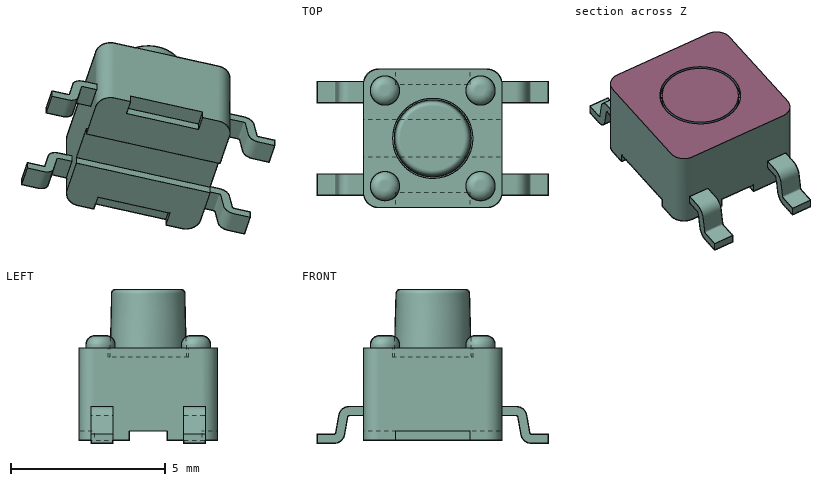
import math

import cadquery as cq

housing_width = 4.5
corner_radius = 0.5
housing_bottom = 0.1
cover_top = 3.1
cover_thickness = 0.3
cover_bottom = cover_top - cover_thickness
cover_hole_diameter = 2.6

relief_height = 0.3
channel_width = 1.22
notch_width = 2.42
notch_depth = 0.5

button_top = 5.0
button_base_diameter = 2.5
button_draft = 1.5
button_edge_radius = 0.15

rivet_diameter = 0.95
rivet_height = 0.4
rivet_edge_radius = 0.3
rivet_offset = 1.55

lead_span = 7.5
lead_width = 0.7
lead_thickness = 0.3
lead_top = 1.2
lead_offset = 1.5
lead_corner_x = 3.0
lead_tilt = 10.0
lead_inner_radius = 0.05
lead_outer_radius = lead_inner_radius + lead_thickness
lead_embed = 0.2


def square_block(bottom, top):
    """Block of the housing outline with rounded vertical edges."""
    block = cq.Workplane("XY").workplane(offset=bottom).rect(housing_width, housing_width)
    return block.extrude(top - bottom).edges("|Z").fillet(corner_radius)


def relief_cut(length_x, length_y, center_y=0):
    """Rectangular cutter rising from the underside of the housing."""
    cutter = cq.Workplane("XY").box(length_x, length_y, relief_height, centered=(True, True, False))
    return cutter.translate((0, center_y, housing_bottom))


def make_housing():
    housing = square_block(housing_bottom, cover_bottom)
    housing = housing.cut(relief_cut(housing_width, channel_width))
    notch_center = (housing_width - notch_depth) / 2
    for side in (-1, 1):
        housing = housing.cut(relief_cut(notch_width, notch_depth, side * notch_center))
    return housing


def make_cover():
    cover = square_block(cover_bottom, cover_top)
    return cover.faces(">Z").workplane().hole(cover_hole_diameter)


def make_button():
    base = cq.Workplane("XY").workplane(offset=cover_bottom).circle(button_base_diameter / 2)
    button = base.extrude(button_top - cover_bottom, taper=button_draft)
    return button.faces(">Z").edges().fillet(button_edge_radius)


def make_rivets():
    spacing = 2 * rivet_offset
    base = cq.Workplane("XY").workplane(offset=cover_top).rarray(spacing, spacing, 2, 2)
    rivets = base.circle(rivet_diameter / 2).extrude(rivet_height)
    return rivets.faces(">Z").edges().fillet(rivet_edge_radius)


def make_lead():
    """Lead on the +X side, centred on Y = 0, with its foot resting on Z = 0."""
    slope = math.tan(math.radians(lead_tilt))
    leg_width = lead_thickness / math.cos(math.radians(lead_tilt))
    root_x = housing_width / 2 - lead_embed
    tip_x = lead_span / 2

    def leg_outer_x(z):
        return lead_corner_x + (lead_top - z) * slope

    shoulder_z = lead_top - lead_thickness
    outer_top = (lead_corner_x, lead_top)
    inner_bottom = (leg_outer_x(lead_thickness), lead_thickness)
    outer_bottom = (leg_outer_x(0) - leg_width, 0)
    inner_top = (leg_outer_x(shoulder_z) - leg_width, shoulder_z)
    outline = [
        (root_x, lead_top),
        outer_top,
        inner_bottom,
        (tip_x, lead_thickness),
        (tip_x, 0),
        outer_bottom,
        inner_top,
        (root_x, shoulder_z),
    ]
    lead = cq.Workplane("XZ").polyline(outline).close().extrude(lead_width / 2, both=True)

    bends = [
        (outer_top, lead_outer_radius),
        (outer_bottom, lead_outer_radius),
        (inner_top, lead_inner_radius),
        (inner_bottom, lead_inner_radius),
    ]
    for (x, z), radius in bends:
        lead = lead.edges(cq.selectors.NearestToPointSelector((x, 0, z))).fillet(radius)
    return lead


result = make_housing().union(make_cover()).union(make_button()).union(make_rivets())

right_lead = make_lead()
left_lead = right_lead.mirror("YZ")
for lead_y in (-lead_offset, lead_offset):
    for lead in (left_lead, right_lead):
        result = result.union(lead.translate((0, lead_y, 0)))